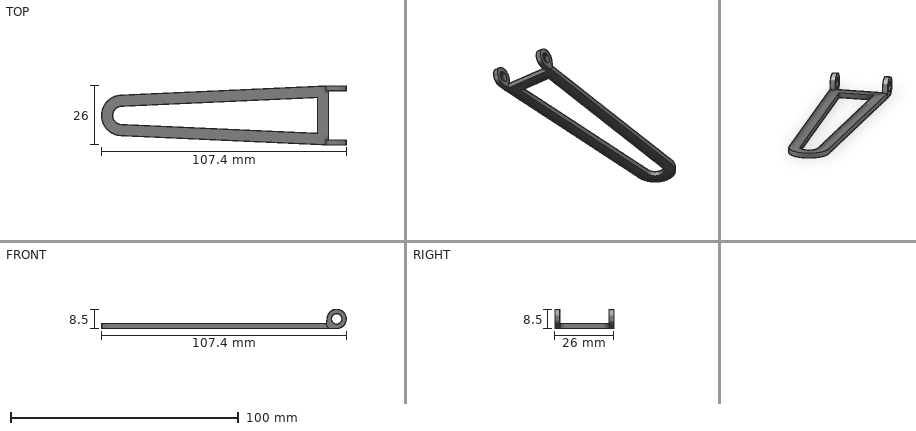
import cadquery as cq
import math

length = 107.4
width = 26.0
height = 8.5

plate_thickness = 2.3
plate_end_x = 99.7
nose_radius = 8.9
band_width = 4.9

lug_thickness = 2.3
hole_diameter = 4.5
lug_heel_x = 98.5
lug_heel_z = 1.7

half_width = width / 2
eye_radius = height / 2
eye_x = length - eye_radius
eye_z = eye_radius

corner_dx = plate_end_x - nose_radius
taper_angle = math.atan2(half_width, corner_dx) - math.asin(
    nose_radius / math.hypot(corner_dx, half_width)
)


def tapered_outline(radius, end_x):
    """Solid with a round nose, straight flared sides and a square end."""
    center_x = nose_radius
    tangent_x = center_x - radius * math.sin(taper_angle)
    tangent_y = radius * math.cos(taper_angle)
    end_y = tangent_y + (end_x - tangent_x) * math.tan(taper_angle)
    return (
        cq.Workplane("XY")
        .moveTo(end_x, -end_y)
        .lineTo(end_x, end_y)
        .lineTo(tangent_x, tangent_y)
        .threePointArc((center_x - radius, 0), (tangent_x, -tangent_y))
        .close()
        .extrude(plate_thickness)
    )


def make_frame():
    """Plate with a parallel-sided band left around its opening."""
    plate = tapered_outline(nose_radius, plate_end_x)
    opening = tapered_outline(nose_radius - band_width, plate_end_x - band_width)
    return plate.cut(opening)


def make_lug(outer_y):
    """Upright eye with a bevelled heel; it extends toward -Y from outer_y."""
    heel_dx = lug_heel_x - eye_x
    heel_dz = lug_heel_z - eye_z
    heel_distance = math.hypot(heel_dx, heel_dz)
    tangent_angle = math.atan2(heel_dz, heel_dx) - math.acos(eye_radius / heel_distance)
    tangent_x = eye_x + eye_radius * math.cos(tangent_angle)
    tangent_z = eye_z + eye_radius * math.sin(tangent_angle)
    plane = cq.Workplane("XZ").workplane(offset=-outer_y)
    body = (
        plane.moveTo(plate_end_x, 0)
        .lineTo(eye_x, 0)
        .threePointArc((length, eye_z), (tangent_x, tangent_z))
        .lineTo(lug_heel_x, lug_heel_z)
        .close()
        .extrude(lug_thickness)
    )
    hole = plane.center(eye_x, eye_z).circle(hole_diameter / 2).extrude(lug_thickness)
    return body.cut(hole)


result = make_frame()
for lug_outer_y in (half_width, lug_thickness - half_width):
    result = result.union(make_lug(lug_outer_y))